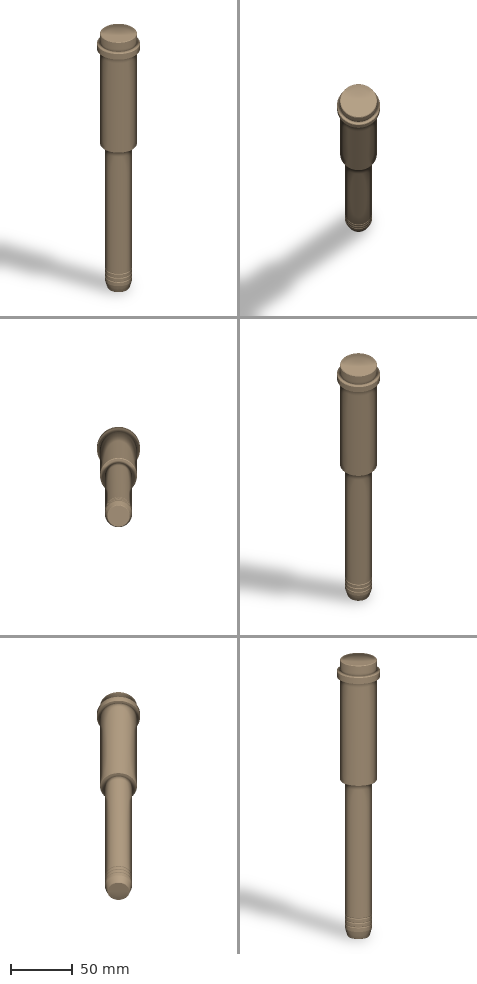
import cadquery as cq

total_length = 240.0
collar_top = total_length - 9.0
collar_height = 5.8
collar_bottom = collar_top - collar_height
shoulder_z = 135.0

collar_radius = 17.5
body_diameter = 30.0
body_radius = body_diameter / 2
pin_radius = 11.0
tip_radius = 9.0

collar_chamfer = 0.5
body_chamfer = 0.5
relief_width = 1.2
relief_depth = 0.2

tip_height = 7.0
tip_mid_height = 3.4
tip_mid_radius = 10.0
tip_chamfer = 0.2
groove_count = 3
groove_radius = 0.6
groove_pitch = 3.8
lowest_groove_z = 10.8


def cylinder(radius, bottom, top):
    """Solid cylinder on the Z axis between two heights."""
    return cq.Workplane("XY").workplane(offset=bottom).circle(radius).extrude(top - bottom)


def ring_cut(outer_radius, depth, bottom, width):
    """Ring removed from a cylinder of the given radius."""
    return cylinder(outer_radius, bottom, bottom + width).cut(
        cylinder(outer_radius - depth, bottom, bottom + width)
    )


def make_pin():
    """Slim pin with a bulging, tapered tip."""
    return (
        cq.Workplane("XZ")
        .lineTo(tip_radius - tip_chamfer, 0)
        .lineTo(tip_radius, tip_chamfer)
        .threePointArc((tip_mid_radius, tip_mid_height), (pin_radius, tip_height))
        .lineTo(pin_radius, shoulder_z)
        .lineTo(0, shoulder_z)
        .close()
        .revolve(360, (0, 0, 0), (0, 1, 0))
    )


def round_groove(height):
    """Torus that cuts a half-round groove into the pin."""
    return (
        cq.Workplane("XZ")
        .center(pin_radius, height)
        .circle(groove_radius)
        .revolve(360, (-pin_radius, 0, 0), (-pin_radius, 1, 0))
    )


pin = make_pin()
for index in range(groove_count):
    pin = pin.cut(round_groove(lowest_groove_z + index * groove_pitch))

body = cylinder(body_radius, shoulder_z, total_length).faces("<Z or >Z").chamfer(body_chamfer)
for relief_bottom in (collar_top, collar_bottom - relief_width):
    body = body.cut(ring_cut(body_radius, relief_depth, relief_bottom, relief_width))

collar = cylinder(collar_radius, collar_bottom, collar_top).faces(">Z").chamfer(collar_chamfer)

result = pin.union(body).union(collar)